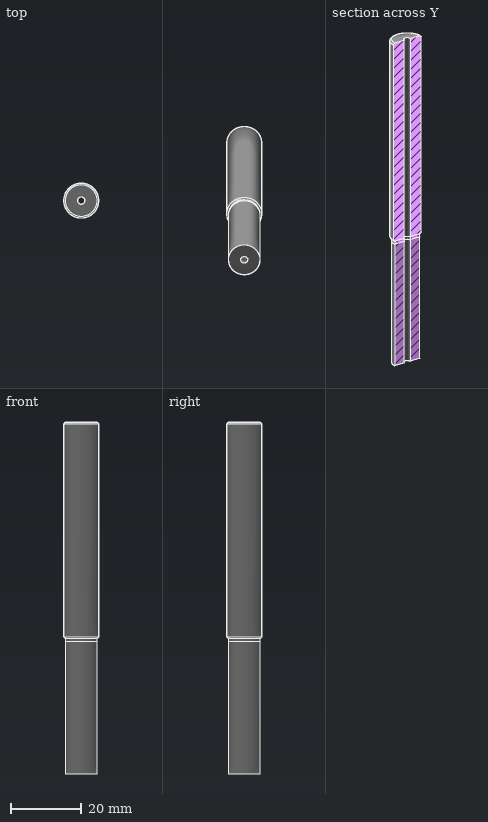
import cadquery as cq

total_length = 100.0
shank_diameter = 10.0
stem_diameter = 9.0
bore_diameter = 2.0

lower_joint = 37.6
upper_joint = 38.5

chamfer = (shank_diameter - stem_diameter) / 2


def bored_cylinder(diameter, bottom, top):
    """Upright cylinder on the Z axis with the central bore through it."""
    return (
        cq.Workplane("XY", origin=(0, 0, bottom))
        .circle(diameter / 2)
        .circle(bore_diameter / 2)
        .extrude(top - bottom)
    )


def make_shank():
    """Thick upper rod, chamfered at the outer rim of both ends."""
    shank = bored_cylinder(shank_diameter, upper_joint, total_length)
    outer_rim = cq.selectors.RadiusNthSelector(-1)
    shank = shank.faces(">Z").edges(outer_rim).chamfer(chamfer)
    return shank.faces("<Z").edges(outer_rim).chamfer(chamfer)


shank = make_shank()
collar = bored_cylinder(stem_diameter, lower_joint, upper_joint)
stem = bored_cylinder(stem_diameter, 0, lower_joint)

result = cq.Compound.makeCompound([shank.val(), collar.val(), stem.val()])